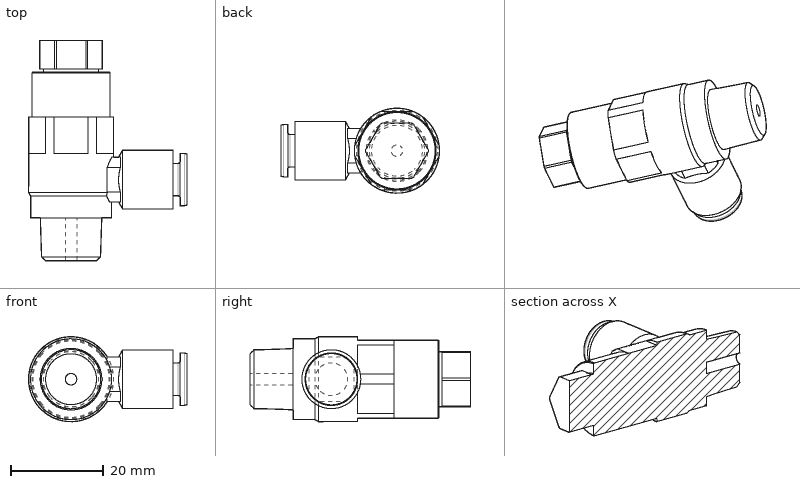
import cadquery as cq
import math

MAIN_RADIUS = 9.25
CAP_RADIUS = 8.5
CAP_CHAMFER = 0.2
COLLAR_RADIUS = 8.8
NECK_RADIUS = 6.0

OVERALL_LENGTH = 47.9
TIP_Y = -17.67
SHOULDER_Y = -8.3
COLLAR_Y = -3.6
COLLAR_CONE_Y = -2.75
FLATS_START_Y = 5.7
FLATS_END_Y = 13.65
CAP_END_Y = 23.4
KNOB_START_Y = 24.0
KNOB_END_Y = TIP_Y + OVERALL_LENGTH

THREAD_SHOULDER_RADIUS = 6.7
THREAD_TIP_RADIUS = 6.43
TIP_CHAMFER = 0.9
BORE_DIAMETER = 2.5
BORE_DEPTH = SHOULDER_Y - TIP_Y

BODY_ACROSS_FLATS = 2 * CAP_RADIUS
KNOB_ACROSS_FLATS = 12.0
KNOB_CORNER_RADIUS = 6.8

STEM_WIDTH = 9.75
STEM_CORNER_RADIUS = 5.55
SOCKET_RADIUS = 6.4
SOCKET_INNER_RADIUS = 4.6
SOCKET_CONE_ANGLE = 30.0
SOCKET_START_X = 11.2
SOCKET_END_X = 22.2
RING_NECK_RADIUS = 3.55
RING_RADIUS = 5.72
RING_START_X = 23.7
RING_END_X = 25.2
RING_FILLET = 0.45
RING_CHAMFER_LENGTH = 0.6
RING_CHAMFER_DEPTH = 0.15


def hexagon(across_flats, start_y, end_y):
    """Hexagonal prism along Y with two flats normal to Z."""
    across_corners = across_flats / math.cos(math.radians(30))
    plane = cq.Workplane("XZ", origin=(0, end_y, 0))
    return plane.polygon(6, across_corners).extrude(end_y - start_y)


def cylinder_y(radius, start_y, end_y):
    """Cylinder along Y."""
    return cq.Workplane("XZ", origin=(0, end_y, 0)).circle(radius).extrude(end_y - start_y)


def make_main_body():
    """Turned body: thread, collar, main barrel, cap and knob neck."""
    profile = [
        (0, TIP_Y),
        (THREAD_TIP_RADIUS - TIP_CHAMFER, TIP_Y),
        (THREAD_TIP_RADIUS, TIP_Y + TIP_CHAMFER),
        (THREAD_SHOULDER_RADIUS, SHOULDER_Y),
        (COLLAR_RADIUS, SHOULDER_Y),
        (COLLAR_RADIUS, COLLAR_Y),
        (MAIN_RADIUS, COLLAR_CONE_Y),
        (MAIN_RADIUS, FLATS_END_Y),
        (CAP_RADIUS, FLATS_END_Y),
        (CAP_RADIUS, CAP_END_Y - CAP_CHAMFER),
        (CAP_RADIUS - CAP_CHAMFER, CAP_END_Y),
        (NECK_RADIUS, CAP_END_Y),
        (NECK_RADIUS, KNOB_START_Y),
        (0, KNOB_START_Y),
    ]
    return cq.Workplane("XY").polyline(profile).close().revolve(360, (0, 0, 0), (0, 1, 0))


def cut_wrench_flats(body):
    """Cut six wrench flats into the top stretch of the main barrel."""
    barrel = cylinder_y(MAIN_RADIUS, FLATS_START_Y, FLATS_END_Y)
    waste = barrel.cut(hexagon(BODY_ACROSS_FLATS, FLATS_START_Y, FLATS_END_Y))
    return body.cut(waste)


def make_knob():
    """Hexagonal adjusting knob with its corners turned down."""
    knob = hexagon(KNOB_ACROSS_FLATS, KNOB_START_Y, KNOB_END_Y)
    return knob.intersect(cylinder_y(KNOB_CORNER_RADIUS, KNOB_START_Y, KNOB_END_Y))


def make_stem():
    """Square stem with turned corners, from the main axis into the socket."""
    square = cq.Workplane("YZ").rect(STEM_WIDTH, STEM_WIDTH).extrude(SOCKET_END_X)
    return square.intersect(cq.Workplane("YZ").circle(STEM_CORNER_RADIUS).extrude(SOCKET_END_X))


def make_socket():
    """Socket barrel with a conical back, and the release ring on its neck."""
    cone_length = (SOCKET_RADIUS - SOCKET_INNER_RADIUS) * math.tan(math.radians(SOCKET_CONE_ANGLE))
    cone_start_x = SOCKET_START_X - cone_length
    fillet_middle = RING_FILLET * (1 - math.sqrt(0.5))
    return (
        cq.Workplane("XY")
        .moveTo(cone_start_x, 0)
        .lineTo(cone_start_x, SOCKET_INNER_RADIUS)
        .lineTo(SOCKET_START_X, SOCKET_RADIUS)
        .lineTo(SOCKET_END_X, SOCKET_RADIUS)
        .lineTo(SOCKET_END_X, RING_NECK_RADIUS)
        .lineTo(RING_START_X - RING_FILLET, RING_NECK_RADIUS)
        .threePointArc(
            (RING_START_X - fillet_middle, RING_NECK_RADIUS + fillet_middle),
            (RING_START_X, RING_NECK_RADIUS + RING_FILLET),
        )
        .lineTo(RING_START_X, RING_RADIUS)
        .lineTo(RING_END_X - RING_CHAMFER_LENGTH, RING_RADIUS)
        .lineTo(RING_END_X, RING_RADIUS - RING_CHAMFER_DEPTH)
        .lineTo(RING_END_X, 0)
        .close()
        .revolve(360, (0, 0, 0), (1, 0, 0))
    )


body = cut_wrench_flats(make_main_body())
body = body.union(make_knob()).union(make_stem()).union(make_socket())

bore = cylinder_y(BORE_DIAMETER / 2, TIP_Y, TIP_Y + BORE_DEPTH)
result = body.cut(bore)